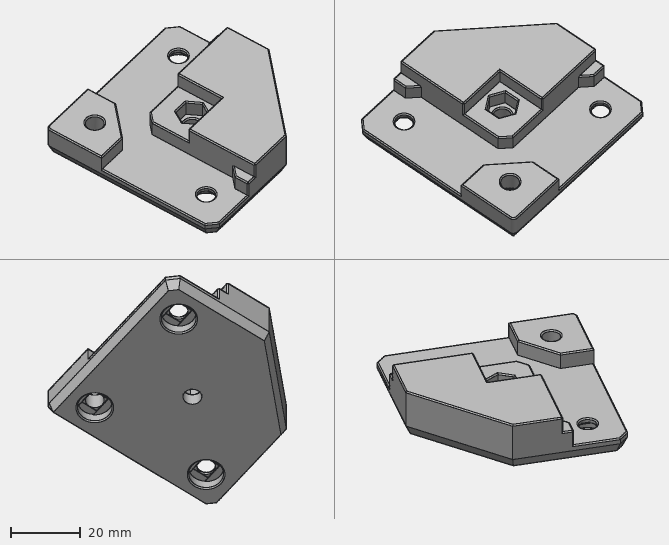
import cadquery as cq
import math

side = 60.0
plate_height = 5.0
skirt_height = 3.2
skirt_inset = 1.5
corner_radius = skirt_inset
corner_cut = 3.0
far_corner_cut = 25.0
edge_break = 0.4

block_start = 20.0
block_height = 15.0
ledge_height = 10.0
ledge_end = 36.0

rib_width = 3.2
rib_length = 8.0
rib_height = ledge_height

boss_side = 20.0
boss_cut = 10.0
boss_height = ledge_height

hole_diameter = 5.4
hole_inset = 10.0
hole_pitch = 40.0
counterbore_diameter = 10.0
counterbore_depth = 3.2
bridge_layer = 0.2
nut_centre = 30.0
nut_sides = 6
nut_flats = 8.2
nut_depth = 5.0

root_height = skirt_height


def prism(points, bottom, top):
    """Extrude a closed outline between two heights."""
    return cq.Workplane("XY").workplane(offset=bottom).polyline(points).close().extrude(top - bottom)


def swap_xy(body):
    """Mirror a body across the diagonal plane X = Y."""
    return body.rotate((0, 0, 0), (1, 1, 0), 180).mirror("XY")


def nearest_edge(x, y, z):
    """Selector for the edge whose middle lies closest to a point."""
    return cq.selectors.NearestToPointSelector((x, y, z))


def make_plate():
    """Plate with three cut corners, one rounded corner and a skirt that tapers in towards the bottom."""
    outline = [
        (0, 0),
        (side - corner_cut, 0),
        (side, corner_cut),
        (side, side - far_corner_cut),
        (side - far_corner_cut, side),
        (corner_cut, side),
        (0, side - corner_cut),
    ]
    upper = prism(outline, skirt_height, plate_height)
    upper = upper.edges(nearest_edge(0, 0, (skirt_height + plate_height) / 2)).fillet(corner_radius)
    upper = upper.faces(">Z").chamfer(edge_break)

    taper = math.degrees(math.atan(skirt_inset / skirt_height))
    skirt = cq.Workplane("XY", origin=(0, 0, skirt_height)).polyline(outline).close()
    skirt = skirt.extrude(-skirt_height, taper=taper)

    sharp_corner = cq.Workplane("XY").box(corner_radius, corner_radius, skirt_height, centered=False)
    round_corner = (
        cq.Workplane("XZ")
        .polyline([(0, 0), (0, skirt_height), (corner_radius, skirt_height)])
        .close()
        .revolve(360, (0, 0, 0), (0, 1, 0))
        .translate((corner_radius, corner_radius, 0))
    )
    return upper.union(skirt.cut(sharp_corner).union(round_corner))


def make_block():
    """Tall block with a ledge stepped into its inner corner and its exposed edges broken."""
    outline = [
        (block_start + corner_cut, block_start),
        (side, block_start),
        (side, side - far_corner_cut),
        (side - far_corner_cut, side),
        (block_start, side),
        (block_start, block_start + corner_cut),
    ]
    ledge_side = ledge_end - block_start
    step_height = block_height - ledge_height
    step = cq.Workplane("XY").box(ledge_side, ledge_side, step_height, centered=False)
    step = step.translate((block_start, block_start, ledge_height))
    block = prism(outline, root_height, block_height).cut(step)

    top_edges = block.faces(">Z").edges()
    ledge_middle = (block_start + corner_cut + ledge_end) / 2
    step_middle = ledge_height + step_height / 2
    wall_middle = (root_height + block_height) / 2
    corner_middle = block_start + corner_cut / 2
    exposed_edges = top_edges.add(block.edges(nearest_edge(corner_middle, corner_middle, ledge_height)))
    for along, across, height in (
        (ledge_middle, block_start, ledge_height),
        (ledge_end, block_start, step_middle),
        (side, block_start, wall_middle),
    ):
        exposed_edges = exposed_edges.add(block.edges(nearest_edge(along, across, height)))
        exposed_edges = exposed_edges.add(block.edges(nearest_edge(across, along, height)))
    return exposed_edges.chamfer(edge_break)


def make_rib():
    """Low rib beside the block, with one slanted end and one end flush with the side of the plate."""
    rib_start = side - rib_length
    rib_front = block_start - rib_width
    inside_block = block_start + rib_width
    outline = [
        (rib_start, block_start),
        (rib_start + rib_width, rib_front),
        (side, rib_front),
        (side, inside_block),
        (rib_start - rib_width, inside_block),
    ]
    rib = prism(outline, root_height, rib_height)
    end_edge = rib.edges(nearest_edge(side, rib_front, (root_height + rib_height) / 2))
    return rib.faces(">Z").edges().add(end_edge).chamfer(edge_break)


def make_boss():
    """Corner boss that continues the rounded corner of the plate."""
    outline = [
        (0, 0),
        (boss_side, 0),
        (boss_side, boss_side - boss_cut),
        (boss_side - boss_cut, boss_side),
        (0, boss_side),
    ]
    boss = prism(outline, root_height, boss_height)
    boss = boss.edges(nearest_edge(0, 0, (root_height + boss_height) / 2)).fillet(corner_radius)
    return boss.faces(">Z").chamfer(edge_break)


def cone(bottom_radius, top_radius, bottom, height):
    """Truncated cone on the Z axis."""
    base = cq.Workplane("XY", origin=(0, 0, bottom)).circle(bottom_radius)
    return base.workplane(offset=height).circle(top_radius).loft()


def make_screw_hole(top):
    """Cutter for a screw hole with a counterbore from below and broken rims."""
    bore_radius = hole_diameter / 2
    head_radius = counterbore_diameter / 2
    bore = cq.Workplane("XY").circle(bore_radius).extrude(top)
    bore_rim = cone(bore_radius, bore_radius + edge_break, top - edge_break, edge_break)
    counterbore = cq.Workplane("XY").circle(head_radius).extrude(counterbore_depth)
    counterbore_rim = cone(head_radius + edge_break, head_radius, 0, edge_break)

    bridge = cq.Workplane("XY", origin=(0, 0, counterbore_depth))
    slot_disc = bridge.circle(head_radius).extrude(bridge_layer)
    slot = bridge.rect(counterbore_diameter, hole_diameter).extrude(bridge_layer).intersect(slot_disc)
    square = bridge.rect(hole_diameter, hole_diameter).extrude(2 * bridge_layer)

    cutter = bore.union(bore_rim).union(counterbore).union(counterbore_rim)
    return cutter.union(slot).union(square)


def make_nut_hole():
    """Cutter for the hexagonal nut pocket and its through hole, with broken rims."""
    floor = ledge_height - nut_depth
    corner_scale = 1 / math.cos(math.pi / nut_sides)
    bore = cq.Workplane("XY").circle(hole_diameter / 2).extrude(ledge_height)
    bore_rim = cone(hole_diameter / 2, hole_diameter / 2 + edge_break, floor - edge_break, edge_break)
    pocket_diameter = nut_flats * corner_scale
    rim_diameter = (nut_flats + 2 * edge_break) * corner_scale
    pocket = cq.Workplane("XY", origin=(0, 0, floor)).polygon(nut_sides, pocket_diameter).extrude(nut_depth)
    rim_base = cq.Workplane("XY", origin=(0, 0, ledge_height - edge_break))
    pocket_rim = rim_base.polygon(nut_sides, pocket_diameter).workplane(offset=edge_break)
    pocket_rim = pocket_rim.polygon(nut_sides, rim_diameter).loft()
    cutter = bore.union(bore_rim).union(pocket).union(pocket_rim)
    return cutter.rotate((0, 0, 0), (0, 0, 1), 90).translate((nut_centre, nut_centre, 0))


rib = make_rib()
result = make_plate().union(make_block()).union(rib).union(swap_xy(rib)).union(make_boss())

hole_far = hole_inset + hole_pitch
for x, y, top in (
    (hole_inset, hole_inset, boss_height),
    (hole_far, hole_inset, plate_height),
    (hole_inset, hole_far, plate_height),
):
    result = result.cut(make_screw_hole(top).translate((x, y, 0)))
result = result.cut(make_nut_hole())